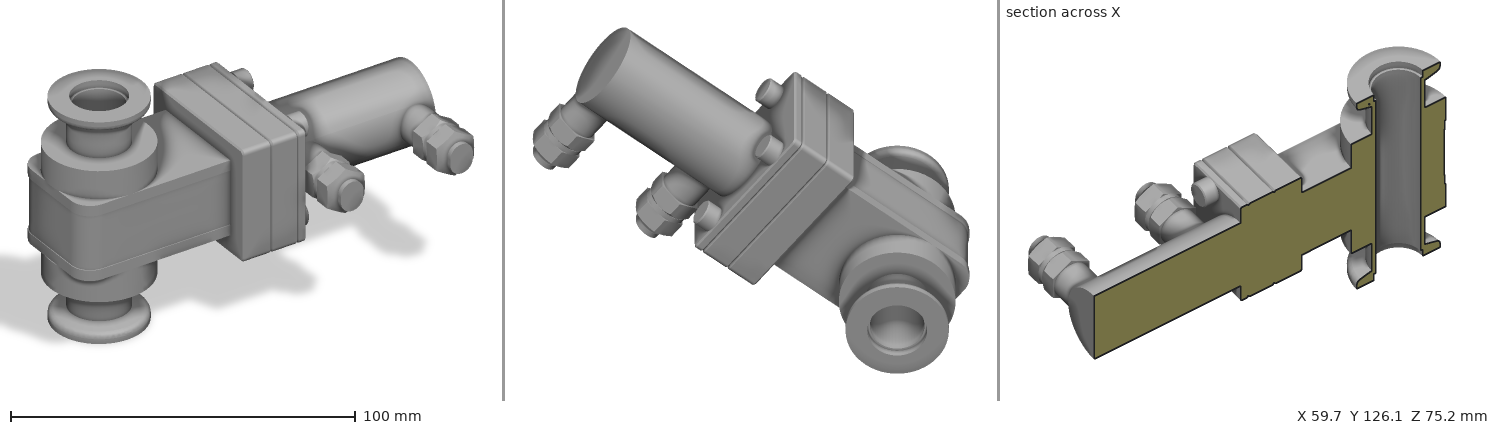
import cadquery as cq
import math


half_height = 37.6
collar_diameter = 33.9
collar_radius = collar_diameter / 2
collar_top = 22.2
pipe_radius = 9.6
bore_radius = 8.0
recess_radius = 8.7
recess_depth = 2.5
clamp_radius = 15.0
clamp_edge = 3.0
clamp_taper_angle = 15
clamp_rounding = 1.9

body_half_width = collar_radius
body_front = 16.6
body_half_height = 12.7
cover_thickness = 3.5
core_inset = 0.3
body_corner_radius = 6.5

plate_width = 47.5
plate_height = 37.8
plate_corner_radius = 1.5
plate_chamfer = 0.5
stack_start = 34.4
plate_thicknesses = (10.0, 9.2, 2.9)
stack_end = stack_start + sum(plate_thicknesses)

screw_radius = 3.9
screw_height = 4.7
screw_chamfer = 0.4
screw_x = 14.5
screw_z = plate_height / 2 - screw_radius

hex_flats = 13.0
hex_half_angle = 30
hex_corners = hex_flats / math.cos(math.radians(hex_half_angle))
fitting_pitch = 38.1
barrel_radius = 6.0
inner_hex_start = 20.2
inner_hex_end = 25.6
inner_hex_chamfer = (hex_corners - hex_flats) / 2
ring_radius = 6.7
outer_hex_start = 27.2
outer_hex_end = 33.9
tip_taper_length = 1.6
tip_radius = 3.5
neck_radius = 2.8
button_start = 34.3
overall_width = 59.7
button_end = overall_width - plate_width / 2
button_width = 7.8
button_length = 9.8

overall_length = 126.1
overall_end = overall_length - collar_radius
last_fitting_y = overall_end - ring_radius
fitting_positions = (last_fitting_y - fitting_pitch, last_fitting_y)

actuator_radius = 12.9
actuator_setback = 0.4
actuator_end = overall_end - actuator_setback


def z_disc(radius, z_start, z_end):
    return cq.Workplane("XY").workplane(offset=z_start).circle(radius).extrude(z_end - z_start)


def clamp_flange():
    """Upper clamp flange with a flat outer face and a rounded, tapered back."""
    taper_drop = (clamp_radius - pipe_radius) * math.tan(math.radians(clamp_taper_angle))
    rim_back = half_height - clamp_edge
    profile = [
        (0, half_height),
        (clamp_radius, half_height),
        (clamp_radius, rim_back),
        (pipe_radius, rim_back - taper_drop),
        (0, rim_back - taper_drop),
    ]
    flange = cq.Workplane("XZ").polyline(profile).close().revolve(360, (0, 0, 0), (0, 1, 0))
    rear_edge = cq.selectors.NearestToPointSelector((0, 0, rim_back))
    return flange.edges(rear_edge).fillet(clamp_rounding)


def port():
    flange = clamp_flange()
    collar = z_disc(collar_radius, body_half_height, collar_top)
    upper_port = z_disc(pipe_radius, 0, half_height).union(collar).union(flange)
    return upper_port.union(upper_port.mirror("XY"))


def bore():
    recess_floor = half_height - recess_depth
    cut = z_disc(bore_radius, -half_height, half_height)
    cut = cut.union(z_disc(recess_radius, recess_floor, half_height))
    return cut.union(z_disc(recess_radius, -half_height, -recess_floor))


def body_slab(half_width, front, z_start, z_end):
    """Slab from the flange stack to the front of the body, with rounded front corners."""
    return (
        cq.Workplane("XY", origin=(0, 0, z_start))
        .moveTo(0, (stack_start - front) / 2)
        .rect(2 * half_width, stack_start + front)
        .extrude(z_end - z_start)
        .edges("|Z and <Y")
        .fillet(body_corner_radius)
    )


def body():
    core_top = body_half_height - cover_thickness
    core = body_slab(body_half_width - core_inset, body_front - core_inset, -core_top, core_top)
    upper_cover = body_slab(body_half_width, body_front, core_top, body_half_height)
    return core.union(upper_cover).union(upper_cover.mirror("XY"))


def y_plane(y):
    """Plane at the given Y that extrudes towards +Y."""
    return cq.Workplane(cq.Plane(origin=(0, y, 0), xDir=(1, 0, 0), normal=(0, 1, 0)))


def flange_plate(y_start, thickness):
    return (
        y_plane(y_start)
        .rect(plate_width, plate_height)
        .extrude(thickness)
        .edges("|Y")
        .fillet(plate_corner_radius)
        .faces("<Y or >Y")
        .edges()
        .chamfer(plate_chamfer)
    )


def flange_stack():
    stack = flange_plate(stack_start, plate_thicknesses[0])
    y = stack_start + plate_thicknesses[0]
    for thickness in plate_thicknesses[1:]:
        stack = stack.union(flange_plate(y, thickness))
        y += thickness
    return stack


def screws():
    return (
        y_plane(stack_end)
        .rect(2 * screw_x, 2 * screw_z, forConstruction=True)
        .vertices()
        .circle(screw_radius)
        .extrude(screw_height)
        .faces(">Y")
        .edges()
        .chamfer(screw_chamfer)
    )


def actuator():
    return y_plane(stack_end).circle(actuator_radius).extrude(actuator_end - stack_end)


def x_plane(x):
    """Plane at the given X that extrudes towards +X, with local x along +Y."""
    return cq.Workplane("YZ", origin=(x, 0, 0))


def hexagon(x_start, x_end):
    """Hexagonal prism along X with flats facing +Y and -Y."""
    prism = x_plane(x_start).polygon(6, hex_corners).extrude(x_end - x_start)
    return prism.rotate((0, 0, 0), (1, 0, 0), hex_half_angle)


def turned_end(x_start, x_end, taper_length, end_radius):
    """Round envelope whose far end tapers from the hexagon corners to the end radius."""
    profile = [
        (x_start, 0),
        (x_start, hex_corners / 2),
        (x_end - taper_length, hex_corners / 2),
        (x_end, end_radius),
        (x_end, 0),
    ]
    return cq.Workplane("XY").polyline(profile).close().revolve(360, (0, 0, 0), (1, 0, 0))


def fitting():
    """Push-in air fitting with its axis on the X axis."""
    inner_hex = hexagon(inner_hex_start, inner_hex_end).intersect(
        turned_end(inner_hex_start, inner_hex_end, inner_hex_chamfer, hex_flats / 2)
    )
    outer_hex = hexagon(outer_hex_start, outer_hex_end).intersect(
        turned_end(outer_hex_start, outer_hex_end, tip_taper_length, tip_radius)
    )
    barrel = x_plane(0).circle(barrel_radius).extrude(inner_hex_start)
    ring = x_plane(inner_hex_end).circle(ring_radius).extrude(outer_hex_start - inner_hex_end)
    neck = x_plane(outer_hex_end).circle(neck_radius).extrude(button_start - outer_hex_end)
    button = x_plane(button_start).slot2D(button_length, button_width, 90).extrude(button_end - button_start)
    return barrel.union(inner_hex).union(ring).union(outer_hex).union(neck).union(button)


result = port().union(body()).cut(bore())
result = result.union(flange_stack()).union(screws()).union(actuator())
for fitting_y in fitting_positions:
    result = result.union(fitting().translate((0, fitting_y, 0)))